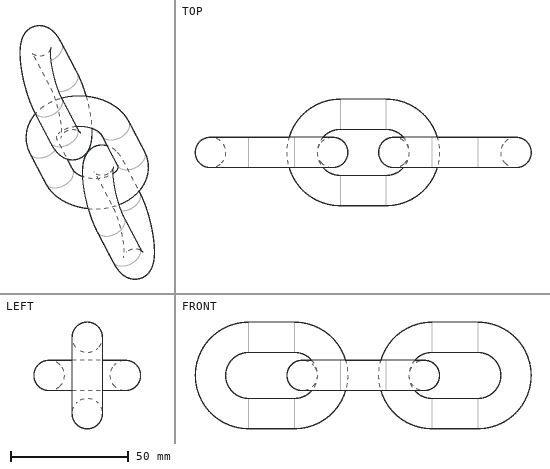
import cadquery as cq

CHAIN_LENGTH = 143.0
LINK_COUNT = 3
LENGTH_IN_WIRES = 5.0
WIDTH_IN_WIRES = 3.5
PITCH_IN_WIRES = LENGTH_IN_WIRES - 2

wire_diameter = CHAIN_LENGTH / ((LINK_COUNT - 1) * PITCH_IN_WIRES + LENGTH_IN_WIRES)
link_length = LENGTH_IN_WIRES * wire_diameter
link_width = WIDTH_IN_WIRES * wire_diameter
pitch = PITCH_IN_WIRES * wire_diameter
bend_radius = (link_width - wire_diameter) / 2
half_straight = (link_length - link_width) / 2


def make_link():
    """One oval link of round wire, centred on the origin and lying in the XY plane."""
    centreline = (
        cq.Workplane("XY")
        .moveTo(-half_straight, -bend_radius)
        .lineTo(half_straight, -bend_radius)
        .threePointArc((half_straight + bend_radius, 0), (half_straight, bend_radius))
        .lineTo(-half_straight, bend_radius)
        .threePointArc((-half_straight - bend_radius, 0), (-half_straight, -bend_radius))
        .close()
    )
    wire_section = cq.Workplane("YZ", origin=(-half_straight, -bend_radius, 0)).circle(wire_diameter / 2)
    return wire_section.sweep(centreline)


links = []
for index in range(LINK_COUNT):
    x_centre = (index - (LINK_COUNT - 1) / 2) * pitch
    roll = 90 if index % 2 == 0 else 0
    link = make_link().rotate((0, 0, 0), (1, 0, 0), roll).translate((x_centre, 0, 0))
    links.append(link.val())

result = cq.Compound.makeCompound(links)